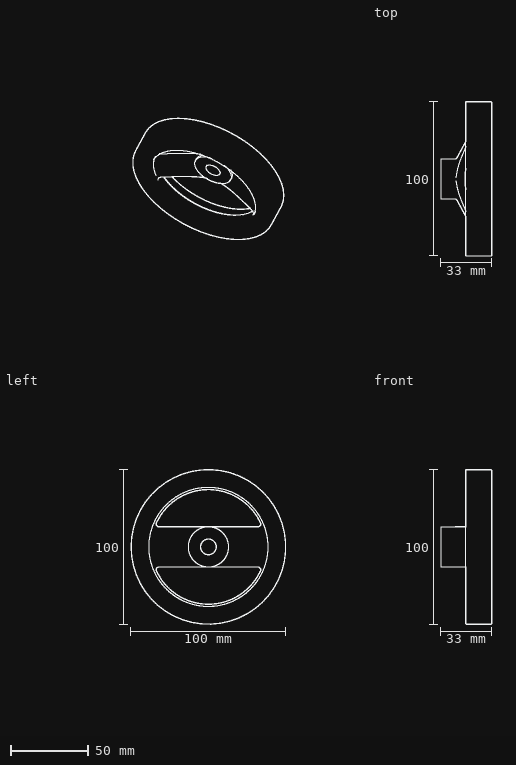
import cadquery as cq
import math

wheel_radius = 50.0
overall_depth = 33.0
rim_width = 17.0
rim_front = overall_depth - rim_width
rim_edge_radius = 0.8

bore_radius = 5.0
hub_radius = 13.0
hub_back = 17.0
hub_root_radius = 1.0

rim_front_opening = 38.5
rim_back_opening = 37.0
opening_edge_radius = 0.7
web_root_radius = 1.5

web_front_at_hub = 10.0
web_cone_angle = 28.5
web_slope = math.tan(math.radians(web_cone_angle))
web_thickness = 5.5

spoke_hub_margin = 0.05
spoke_width = 2 * (hub_radius + spoke_hub_margin)
window_radius = 37.0
window_corner_radius = 1.8


def web_front(radius):
    """X position of the conical front face of the web at a given radius."""
    return web_front_at_hub + (radius - hub_radius) * web_slope


def make_wheel_blank():
    """Revolve the hub, conical web and rim as one closed dish."""
    hub_web_back = web_front(hub_radius) + web_thickness
    rim_web_back = web_front(rim_back_opening) + web_thickness
    section = (
        cq.Workplane("XY")
        .moveTo(0, bore_radius)
        .lineTo(0, hub_radius)
        .lineTo(web_front_at_hub, hub_radius)
        .lineTo(web_front(rim_front_opening), rim_front_opening)
        .lineTo(rim_front, rim_front_opening)
        .lineTo(rim_front, wheel_radius)
        .lineTo(overall_depth, wheel_radius)
        .lineTo(overall_depth, rim_back_opening)
        .lineTo(rim_web_back, rim_back_opening)
        .lineTo(hub_web_back, hub_radius)
        .lineTo(hub_back, hub_radius)
        .lineTo(hub_back, bore_radius)
        .close()
    )
    return section.revolve(360, (0, 0, 0), (1, 0, 0))


def circular_edge(x, radius):
    """Select the circular edge centred on the wheel axis at x."""
    reach = 0.01
    inside = radius - 1
    outside = radius + 1
    outer = cq.selectors.BoxSelector(
        (x - reach, -outside, -outside),
        (x + reach, outside, outside),
        boundingbox=True,
    )
    inner = cq.selectors.BoxSelector(
        (x - reach, -inside, -inside),
        (x + reach, inside, inside),
        boundingbox=True,
    )
    return outer - inner


def round_edges(wheel):
    """Round the rim edges and the roots where the web meets hub and rim."""
    rounds = (
        (rim_front, wheel_radius, rim_edge_radius),
        (overall_depth, wheel_radius, rim_edge_radius),
        (rim_front, rim_front_opening, opening_edge_radius),
        (overall_depth, rim_back_opening, opening_edge_radius),
        (web_front_at_hub, hub_radius, hub_root_radius),
        (web_front(rim_front_opening), rim_front_opening, web_root_radius),
    )
    for x, radius, fillet_radius in rounds:
        wheel = wheel.edges(circular_edge(x, radius)).fillet(fillet_radius)
    return wheel


def make_windows():
    """Two circular segments, above and below the spokes, through the web."""
    disc = cq.Workplane("YZ").circle(window_radius).extrude(overall_depth)
    spoke_bar = cq.Workplane("YZ").rect(2 * wheel_radius, spoke_width).extrude(overall_depth)
    return disc.cut(spoke_bar).edges("|X").fillet(window_corner_radius)


result = round_edges(make_wheel_blank()).cut(make_windows())